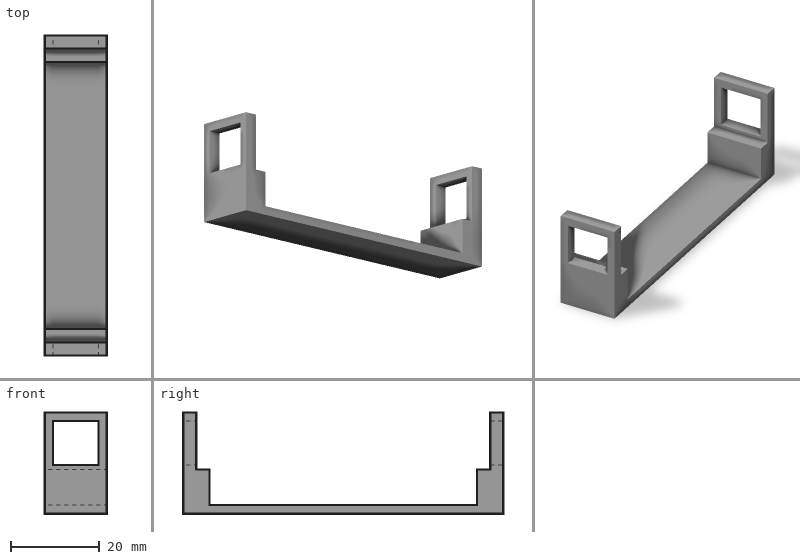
import cadquery as cq

width = 14.0
length = 72
height = 22.8

floor_thickness = 2.0
foot_depth = 6.0
wall_thickness = foot_depth / 2
step_height = 10.0

window_width = 10.2
window_top_rim = 2.0
window_height = 9.8

half_length = length / 2
wall_inner_y = half_length - wall_thickness
step_inner_y = half_length - foot_depth


def bracket_body():
    """U-shaped profile in the YZ plane, extruded across the width."""
    right_end = [
        (half_length, 0),
        (half_length, height),
        (wall_inner_y, height),
        (wall_inner_y, step_height),
        (step_inner_y, step_height),
        (step_inner_y, floor_thickness),
    ]
    left_end = [(-y, z) for y, z in reversed(right_end)]
    profile = cq.Workplane("YZ").polyline(right_end + left_end).close()
    return profile.extrude(width / 2, both=True)


def window_cutter():
    """Bar running the full length, opening both end walls above the steps."""
    center_z = height - window_top_rim - window_height / 2
    return cq.Workplane("XY").box(window_width, length, window_height).translate((0, 0, center_z))


result = bracket_body().cut(window_cutter())